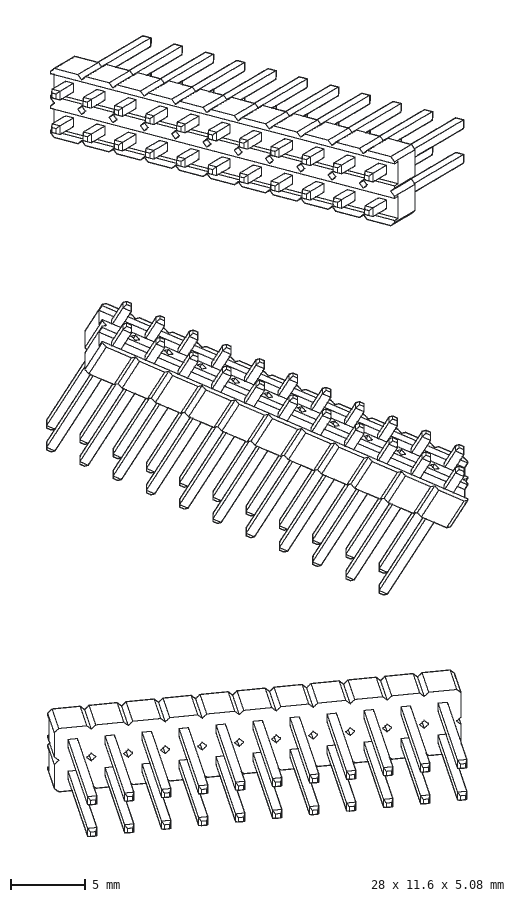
import cadquery as cq

columns = 11
rows = 2
body_length = 27.95
pitch = body_length / columns
body_height = rows * pitch
body_depth = 2.51

notch_depth = 0.3
groove_height = 1.62
groove_depth = 0.45

pin_width = 0.65
pin_length = 11.6
pin_back_length = 7.6
pin_tip_length = 0.28
pin_tip_width = 0.35
pin_shank_length = pin_length - 2 * pin_tip_length


def centred_steps(count):
    """Positions of `count` items, one pitch apart and centred on zero."""
    return [(i - (count - 1) / 2) * pitch for i in range(count)]


pin_positions = [(x, z) for x in centred_steps(columns) for z in centred_steps(rows)]
cell_corners = [(x, z) for x in centred_steps(columns + 1) for z in centred_steps(rows + 1)]


def make_body():
    """Block with a V-notch at every cell corner and one front groove per row."""
    block = cq.Workplane("XZ").rect(body_length, body_height).extrude(body_depth)

    notches = (
        cq.Workplane("XZ")
        .pushPoints(cell_corners)
        .polygon(4, 2 * notch_depth)
        .extrude(body_depth)
    )

    grooves = (
        cq.Workplane("XZ", origin=(0, groove_depth - body_depth, 0))
        .pushPoints([(0, z) for z in centred_steps(rows)])
        .rect(body_length, groove_height)
        .extrude(groove_depth)
    )
    return block.cut(notches).cut(grooves)


def make_pin():
    """Square pin on the Y axis with a tapered tip at each end."""
    back_shoulder_y = pin_back_length - pin_tip_length
    shank = (
        cq.Workplane("XZ", origin=(0, back_shoulder_y, 0))
        .rect(pin_width, pin_width)
        .extrude(pin_shank_length)
    )

    def add_tip(pin, face):
        return (
            pin.faces(face)
            .workplane()
            .rect(pin_width, pin_width)
            .workplane(offset=pin_tip_length)
            .rect(pin_tip_width, pin_tip_width)
            .loft(combine=True)
        )

    return add_tip(add_tip(shank, ">Y"), "<Y")


pin = make_pin()
result = make_body()
for x, z in pin_positions:
    result = result.union(pin.translate((x, 0, z)))